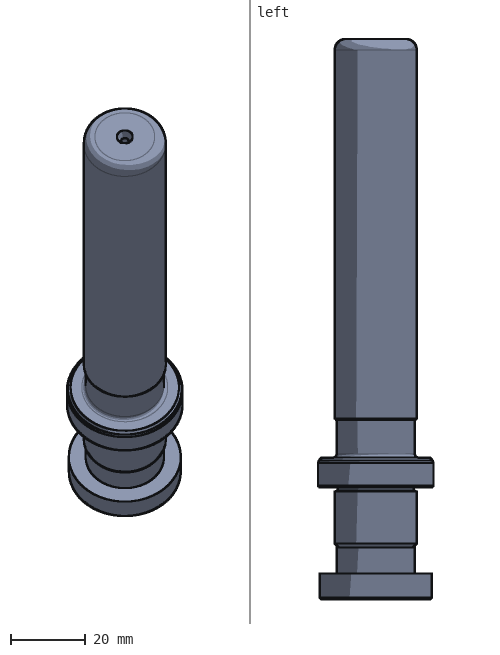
import cadquery as cq
import math

total_length = 150.0
disc_height = 7.0
pin_base = 14.0
collar_base = 30.0
collar_top = 38.0
shank_base = 48.0

shank_radius = 11.0
neck_radius = 10.5
collar_radius = 15.5
disc_radius = 15.0

lead_chamfer = 1.0
relief_radius = 10.2
relief_height = 0.8
relief_slope_height = 0.3

collar_bottom_chamfer = 0.5
rim_width = 1.0
rim_height = 1.5
rim_crease_inset = 0.3
rim_crease_drop = 0.75
collar_fillet = 1.0

shank_base_chamfer = shank_radius - neck_radius
nose_radius = 3.0

pilot_radius = 1.0
countersink_radius = 2.125
countersink_half_angle = 30.0
pilot_depth = 5.0
drill_half_angle = 59.0
countersink_depth = (countersink_radius - pilot_radius) / math.tan(math.radians(countersink_half_angle))
drill_point_depth = pilot_radius / math.tan(math.radians(drill_half_angle))

disc_chamfer = 0.5


def revolve_about_z(profile):
    """Turn a closed half section in the XZ plane about the Z axis."""
    return profile.revolve(360, (0, 0, 0), (0, 1, 0))


def make_centre_hole():
    """Solid cutter for the countersunk centre hole in the nose."""
    return revolve_about_z(
        cq.Workplane("XZ")
        .moveTo(0, total_length)
        .lineTo(countersink_radius, total_length)
        .lineTo(pilot_radius, total_length - countersink_depth)
        .lineTo(pilot_radius, total_length - pilot_depth)
        .lineTo(0, total_length - pilot_depth - drill_point_depth)
        .close()
    )


def make_pin():
    """Collared guide pin with a spigot below the collar and a rounded nose on top."""
    relief_base = collar_base - relief_height
    body = revolve_about_z(
        cq.Workplane("XZ")
        .moveTo(0, pin_base)
        .lineTo(shank_radius - lead_chamfer, pin_base)
        .lineTo(shank_radius, pin_base + lead_chamfer)
        .lineTo(shank_radius, relief_base - relief_slope_height)
        .lineTo(relief_radius, relief_base)
        .lineTo(relief_radius, collar_base)
        .lineTo(collar_radius - collar_bottom_chamfer, collar_base)
        .lineTo(collar_radius, collar_base + collar_bottom_chamfer)
        .lineTo(collar_radius, collar_top - rim_height)
        .lineTo(collar_radius - rim_crease_inset, collar_top - rim_crease_drop)
        .lineTo(collar_radius - rim_width, collar_top)
        .lineTo(neck_radius + collar_fillet, collar_top)
        .radiusArc((neck_radius, collar_top + collar_fillet), collar_fillet)
        .lineTo(neck_radius, shank_base)
        .lineTo(shank_radius, shank_base + shank_base_chamfer)
        .lineTo(shank_radius, total_length - nose_radius)
        .radiusArc((shank_radius - nose_radius, total_length), -nose_radius)
        .lineTo(0, total_length)
        .close()
    )
    return body.cut(make_centre_hole())


def make_end_disc():
    """Disc with a neck whose top face meets the lower end of the pin."""
    disc = cq.Workplane("XY").circle(disc_radius).extrude(disc_height)
    disc = disc.faces("<Z").chamfer(disc_chamfer)
    neck = cq.Workplane("XY").circle(neck_radius).extrude(pin_base)
    return disc.union(neck)


pin = make_pin()
end_disc = make_end_disc()
result = cq.Compound.makeCompound([pin.val(), end_disc.val()])